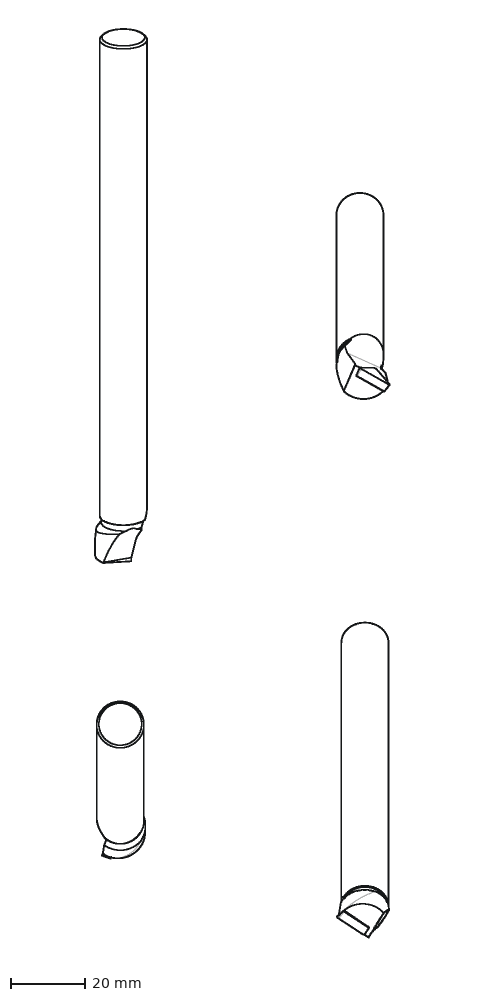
import cadquery as cq
import math

TOTAL_LENGTH = 153.6
TOTAL_WIDTH = 15.0
TOTAL_DEPTH = 13.7
SHANK_RADIUS = 12.8 / 2
SHANK_CHAMFER = 0.6
SHANK_BOTTOM_Z = 13.4

NECK_RADIUS = 6.0
NECK_BOTTOM_Z = 11.5
FLARE_RADIUS = 7.4
FLARE_BOTTOM_Z = 9.5
HEAD_BASE_RADIUS = 8.3

TRIM_RADIUS = TOTAL_DEPTH - SHANK_RADIUS
TRIM_CENTER_X = SHANK_RADIUS - TRIM_RADIUS

RELIEF_TOP_Z = 13.0
RELIEF_BOTTOM_X = 2.0
RELIEF_BOTTOM_Z = 1.7

END_FRONT_Z = 1.5
END_FLOOR_Z = 0.6

FLOOR_SLOPE = 0.14
FLUTE_DROP = 0.35
TIP_X = SHANK_RADIUS - TOTAL_WIDTH
FLOOR_Y = -TIP_X * FLOOR_SLOPE
FLUTE_FLOOR_TOP_Z = 9.7
FLUTE_ARC_MID = (3.2, 14.5)
FLUTE_ARC_END = (6.5, 17.0)
FLUTE_OUTER_Y = 12.3

INSERT_NOSE_RADIUS = 0.5
INSERT_CENTER_SPACING = 8.5
INSERT_THICKNESS = 2.5
INSERT_CLEARANCE_ANGLE = 7.0
INSERT_LEAD_ANGLE = 1.5

REACH = 15.4


def make_turned_body():
    """Shank, neck and flared head as one revolved profile."""
    return (
        cq.Workplane("XZ")
        .moveTo(0, 0)
        .lineTo(HEAD_BASE_RADIUS, 0)
        .lineTo(FLARE_RADIUS, FLARE_BOTTOM_Z)
        .lineTo(NECK_RADIUS, NECK_BOTTOM_Z)
        .lineTo(NECK_RADIUS, SHANK_BOTTOM_Z)
        .lineTo(SHANK_RADIUS, SHANK_BOTTOM_Z)
        .lineTo(SHANK_RADIUS, TOTAL_LENGTH - SHANK_CHAMFER)
        .lineTo(SHANK_RADIUS - SHANK_CHAMFER, TOTAL_LENGTH)
        .lineTo(0, TOTAL_LENGTH)
        .close()
        .revolve(360, (0, 0, 0), (0, 1, 0))
    )


def make_head_trim():
    """Ring of material outside the off-axis trimming cylinder."""
    return (
        cq.Workplane("XY")
        .rect(2 * REACH, 2 * REACH)
        .moveTo(TRIM_CENTER_X, 0)
        .circle(TRIM_RADIUS)
        .extrude(NECK_BOTTOM_Z)
    )


def make_side_relief():
    """Wedge that slants the +X side of the head toward the cutting end."""
    return (
        cq.Workplane("XZ")
        .moveTo(RELIEF_BOTTOM_X, 0)
        .lineTo(RELIEF_BOTTOM_X, RELIEF_BOTTOM_Z)
        .lineTo(SHANK_RADIUS, RELIEF_TOP_Z)
        .lineTo(REACH, RELIEF_TOP_Z)
        .lineTo(REACH, 0)
        .close()
        .extrude(REACH, both=True)
    )


def make_end_cut():
    """Wedge below the sloped end face."""
    return (
        cq.Workplane("YZ")
        .moveTo(-TRIM_RADIUS, END_FRONT_Z)
        .lineTo(FLOOR_Y, END_FLOOR_Z)
        .lineTo(REACH, END_FLOOR_Z)
        .lineTo(REACH, -END_FRONT_Z)
        .lineTo(-REACH, -END_FRONT_Z)
        .lineTo(-REACH, END_FRONT_Z)
        .close()
        .extrude(REACH, both=True)
    )


def make_flute():
    """Chip flute swept along a line that falls and moves toward +Y as X grows."""
    bottom_z = -REACH
    start_x = -REACH
    profile = (
        cq.Workplane("YZ")
        .moveTo(FLOOR_Y, bottom_z)
        .lineTo(FLOOR_Y, FLUTE_FLOOR_TOP_Z)
        .threePointArc(FLUTE_ARC_MID, FLUTE_ARC_END)
        .lineTo(FLUTE_OUTER_Y, FLUTE_ARC_END[1])
        .lineTo(FLUTE_OUTER_Y, bottom_z)
        .close()
        .val()
    )
    sweep = cq.Vector(1, FLOOR_SLOPE, -FLUTE_DROP)
    start = profile.translate(sweep * start_x)
    return cq.Workplane(obj=cq.Solid.extrudeLinear(start, [], sweep * (2 * REACH)))


def make_insert():
    """Triangular insert, flush with the flute floor, narrowing away from it."""
    floor_plane = cq.Plane(
        origin=(TIP_X, 0, 0),
        xDir=(1, FLOOR_SLOPE, 0),
        normal=(FLOOR_SLOPE, -1, 0),
    )
    nose = (INSERT_NOSE_RADIUS, INSERT_NOSE_RADIUS)
    corners = [nose]
    for corner_angle in (0, 60):
        angle = math.radians(INSERT_LEAD_ANGLE + corner_angle)
        corners.append((
            nose[0] + INSERT_CENTER_SPACING * math.cos(angle),
            nose[1] + INSERT_CENTER_SPACING * math.sin(angle),
        ))
    return (
        cq.Workplane(floor_plane)
        .polyline(corners)
        .close()
        .offset2D(INSERT_NOSE_RADIUS)
        .extrude(INSERT_THICKNESS, taper=INSERT_CLEARANCE_ANGLE)
    )


insert = make_insert()
bar = (
    make_turned_body()
    .cut(make_head_trim())
    .cut(make_side_relief())
    .cut(make_end_cut())
    .cut(make_flute())
    .cut(insert)
)

result = cq.Compound.makeCompound([bar.val(), insert.val()])